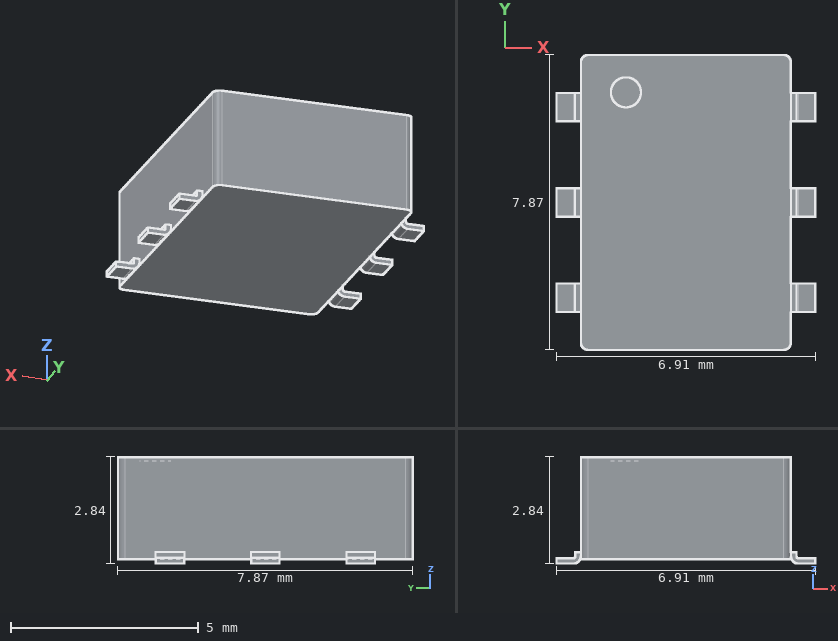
import cadquery as cq

overall_width = 6.91
overall_height = 2.84
body_length = 7.87
body_width = 5.6
standoff = 0.12
body_height = overall_height - standoff
corner_radius = 0.2

lead_thickness = 0.15
lead_width = 0.76
lead_height = 0.31
lead_pitch = 2.54
inner_bend_radius = 0.05
outer_bend_radius = inner_bend_radius + lead_thickness
lead_reach = (overall_width - body_width) / 2

marker_diameter = 0.8
marker_depth = 0.1
marker_side_offset = 1.205
marker_end_offset = 1.0
marker_x = -body_width / 2 + marker_side_offset
marker_y = body_length / 2 - marker_end_offset


def make_marker():
    """Round disc that fills the recess in the top of the body."""
    return (
        cq.Workplane("XY", origin=(marker_x, marker_y, overall_height - marker_depth))
        .circle(marker_diameter / 2)
        .extrude(marker_depth)
    )


def make_body(marker):
    """Block with rounded vertical edges and a recess for the marker."""
    block = (
        cq.Workplane("XY", origin=(0, 0, standoff))
        .rect(body_width, body_length)
        .extrude(body_height)
        .edges("|Z")
        .fillet(corner_radius)
    )
    return block.cut(marker)


def make_lead(side, y_center):
    """L-shaped lead against the body wall; side is -1 at -X and +1 at +X."""
    wall_x = side * body_width / 2
    lead = (
        cq.Workplane("XZ", origin=(wall_x, y_center, 0))
        .polyline([
            (0, 0),
            (side * lead_reach, 0),
            (side * lead_reach, lead_thickness),
            (side * lead_thickness, lead_thickness),
            (side * lead_thickness, lead_height),
            (0, lead_height),
        ])
        .close()
        .extrude(lead_width / 2, both=True)
    )
    outer_corner = cq.selectors.NearestToPointSelector((wall_x, y_center, 0))
    inner_corner = cq.selectors.NearestToPointSelector(
        (wall_x + side * lead_thickness, y_center, lead_thickness)
    )
    lead = lead.edges("|Y").edges(outer_corner).fillet(outer_bend_radius)
    return lead.edges("|Y").edges(inner_corner).fillet(inner_bend_radius)


marker = make_marker()
body = make_body(marker)
leads = [
    make_lead(side, row * lead_pitch)
    for side in (-1, 1)
    for row in (-1, 0, 1)
]

result = cq.Compound.makeCompound([
    body.solids().val(),
    marker.val(),
    *[lead.solids().val() for lead in leads],
])